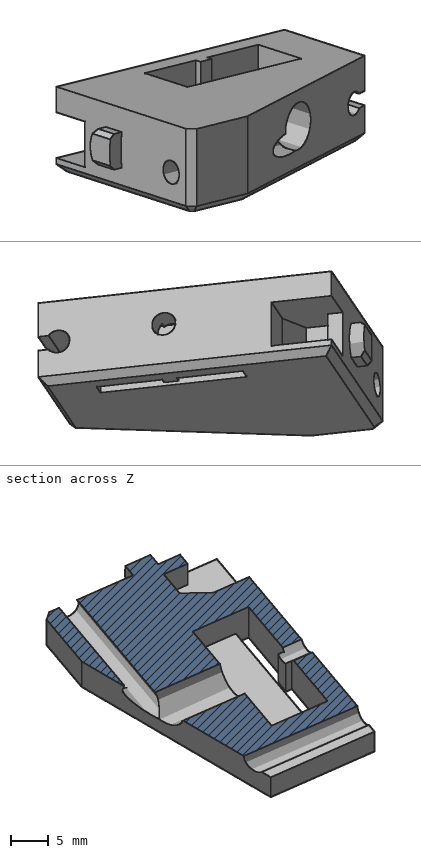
import cadquery as cq
import math

length = 42.2
width = 27.0
height = 11.7
pin_length = 2.0
front_y = pin_length
back_width = 16.08
slope_start_y = 12.0
edge_chamfer = 1.0

window_left = 2.95
window_right = 11.55
window_front = 14.95
window_back = 35.0
window_floor_z = 1.85
through_slot_width = 2.0
rib_depth = 0.93
rib_width = 2.0

hole_diameter = 3.2
side_hole_y = 25.0
side_hole_z = 6.7
bore_diameter = 6.5
front_hole_x = 23.05
front_hole_z = 5.02
keyhole_y = 39.5
keyhole_z = 5.82
keyhole_slot_height = 2.0

pocket_floor_z = 1.85
pocket_height = 6.3
pocket_mouth_width = 5.7
pocket_back_width = 5.53
pocket_back_y = 10.2
pocket_step_y = 4.0
pocket_bevel_y = 7.98
pocket_bevel_angle = 30.0

pin_left = 9.07
pin_right = 13.12
pin_bottom_z = 3.4
pin_height = 4.95
pin_bulge = 0.9
pin_hollow = 0.13
pin_chamfer = 0.65


def box(x_range, y_range, z_range):
    """Box spanning three (start, end) ranges."""
    spans = [end - start for start, end in (x_range, y_range, z_range)]
    corner = (x_range[0], y_range[0], z_range[0])
    return cq.Workplane("XY").box(*spans, centered=False).translate(corner)


def cross_hole(diameter, y, z, start_x=0.0):
    """Cylinder along +X, from start_x out through the right side."""
    plane = cq.Workplane("YZ", origin=(start_x, y, z))
    return plane.circle(diameter / 2).extrude(width - start_x)


def make_body():
    outline = [
        (0, front_y),
        (width - edge_chamfer, front_y),
        (width, front_y + edge_chamfer),
        (width, slope_start_y),
        (back_width, length),
        (0, length),
    ]
    body = cq.Workplane("XY").polyline(outline).close().extrude(height)
    return body.faces("<Z").edges().chamfer(edge_chamfer)


def make_window():
    y_range = (window_front, window_back)
    recess = box((window_left, window_right), y_range, (window_floor_z, height))
    slot = box((window_left, window_left + through_slot_width), y_range, (0, height))
    rib_y = (side_hole_y - rib_width / 2, side_hole_y + rib_width / 2)
    rib = box((window_left, window_left + rib_depth), rib_y, (0, height))
    return recess.union(slot).cut(rib)


def make_keyhole():
    slot_z = (keyhole_z - keyhole_slot_height / 2, keyhole_z + keyhole_slot_height / 2)
    slot = box((0, width), (keyhole_y, length), slot_z)
    return cross_hole(hole_diameter, keyhole_y, keyhole_z).union(slot)


def make_front_hole():
    plane = cq.Workplane("XZ", origin=(front_hole_x, length, front_hole_z))
    return plane.circle(hole_diameter / 2).extrude(length)


def make_corner_pocket():
    bevel_depth = pocket_back_y - pocket_bevel_y
    undercut_x = pocket_back_width + bevel_depth / math.tan(math.radians(pocket_bevel_angle))
    outline = [
        (0, front_y),
        (pocket_mouth_width, front_y),
        (pocket_mouth_width, pocket_step_y),
        (undercut_x, pocket_step_y),
        (undercut_x, pocket_bevel_y),
        (pocket_back_width, pocket_back_y),
        (0, pocket_back_y),
    ]
    plane = cq.Workplane("XY", origin=(0, 0, pocket_floor_z))
    return plane.polyline(outline).close().extrude(pocket_height)


def make_pin():
    middle_z = pin_bottom_z + pin_height / 2
    top_z = pin_bottom_z + pin_height
    shoulder_x = pin_left + pin_bulge
    pin = (
        cq.Workplane("XZ", origin=(0, front_y, 0))
        .moveTo(shoulder_x, pin_bottom_z)
        .lineTo(pin_right, pin_bottom_z)
        .threePointArc((pin_right - pin_hollow, middle_z), (pin_right, top_z))
        .lineTo(shoulder_x, top_z)
        .threePointArc((pin_left, middle_z), (shoulder_x, pin_bottom_z))
        .close()
        .extrude(pin_length)
    )
    return pin.faces("<Y").edges("|X").chamfer(pin_chamfer)


result = (
    make_body()
    .cut(make_window())
    .cut(cross_hole(hole_diameter, side_hole_y, side_hole_z))
    .cut(cross_hole(bore_diameter, side_hole_y, side_hole_z, window_right))
    .cut(make_keyhole())
    .cut(make_front_hole())
    .cut(make_corner_pocket())
    .union(make_pin())
)